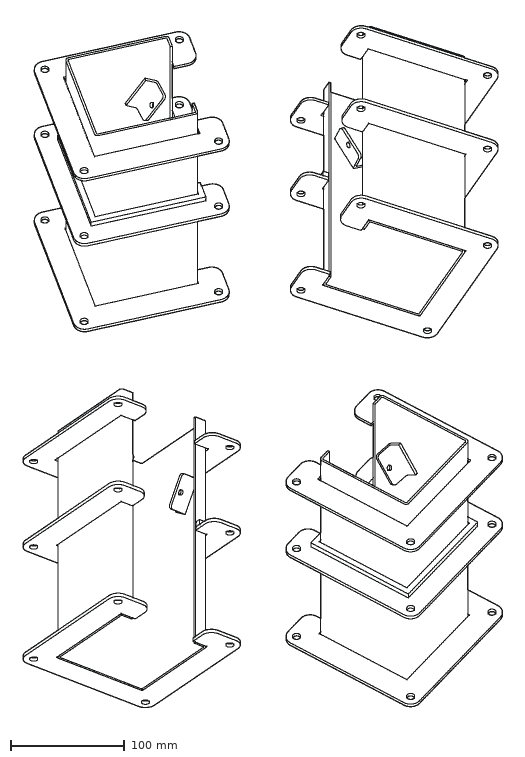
import cadquery as cq
import math

POST_SIZE = 95.0
POST_HEIGHT = 231.8
POST_WALL = 2.0
POST_CORNER_RADIUS = 3.0
POST_GAP = 69.0

FLANGE_SIZE = 142.8
FLANGE_CORNER_RADIUS = 10.0
BOLT_HOLE_DIAMETER = 7.2
BOLT_SPACING = 123.8

BOTTOM_FLANGE_THICKNESS = 3.5
BOTTOM_FLANGE_GAP = 64.0

MIDDLE_FLANGE_THICKNESS = BOTTOM_FLANGE_THICKNESS
MIDDLE_FLANGE_GAP = 70.0
MIDDLE_FLANGE_BASE = 115.2

TOP_FLANGE_THICKNESS = 3.0
TOP_FLANGE_GAP = 65.8
TOP_FLANGE_BASE = 203.0
TOP_FLANGE_CLEARANCE = 1.0

GASKET_SIZE = 105.7
GASKET_THICKNESS = 5.0
GASKET_BASE = MIDDLE_FLANGE_BASE + MIDDLE_FLANGE_THICKNESS

BRACKET_THICKNESS = 2.8
BRACKET_LENGTH = 33.4
BRACKET_TILT = 57.0
INNER_BEND_RADIUS = 1.5
OUTER_BEND_RADIUS = 2.0
WALL_LEG_WIDTH = 14.0
PLATE_REACH = 19.0
PLATE_LEAN = 9.0
PLATE_CORNER_RADIUS = 3.5
PLATE_HOLE_DIAMETER = 4.9
PLATE_HOLE_REACH = 14.0
BRACKET_Y = 28.0
BRACKET_Z = 162.5


def square_prism(size, base, height):
    return cq.Workplane("XY").workplane(offset=base).rect(size, size).extrude(height)


def open_side(body, gap, base, height):
    """Remove the middle of the body's +Y side over the width of the gap."""
    reach = FLANGE_SIZE / 2
    cutter = cq.Workplane("XY").workplane(offset=base).center(0, reach / 2).rect(gap, reach).extrude(height)
    return body.cut(cutter)


def make_post():
    outside = square_prism(POST_SIZE, 0, POST_HEIGHT).edges("|Z").fillet(POST_CORNER_RADIUS)
    inside = square_prism(POST_SIZE - 2 * POST_WALL, 0, POST_HEIGHT)
    inside = inside.edges("|Z").fillet(POST_CORNER_RADIUS - POST_WALL)
    return open_side(outside.cut(inside), POST_GAP, 0, POST_HEIGHT)


def make_flange(base, thickness, gap, clearance=0):
    """U-plate with rounded corners, four bolt holes and a square window around the post."""
    plate = open_side(square_prism(FLANGE_SIZE, base, thickness), gap, base, thickness)
    plate = plate.edges("|Z and (<Y or >Y)").fillet(FLANGE_CORNER_RADIUS)
    window = square_prism(POST_SIZE + 2 * clearance, base, thickness)
    bolt_holes = (
        cq.Workplane("XY")
        .workplane(offset=base)
        .rect(BOLT_SPACING, BOLT_SPACING, forConstruction=True)
        .vertices()
        .circle(BOLT_HOLE_DIAMETER / 2)
        .extrude(thickness)
    )
    return plate.cut(window).cut(bolt_holes)


def make_gasket():
    strip = square_prism(GASKET_SIZE, GASKET_BASE, GASKET_THICKNESS)
    strip = strip.cut(square_prism(POST_SIZE, GASKET_BASE, GASKET_THICKNESS))
    return open_side(strip, MIDDLE_FLANGE_GAP, GASKET_BASE, GASKET_THICKNESS)


def make_left_bracket():
    """Bracket on the -X wall, built along Z with its outer bend at the origin, then tilted."""
    lean = math.radians(PLATE_LEAN)
    outer_bend = (0, 0)
    inner_bend = (BRACKET_THICKNESS, BRACKET_THICKNESS * (math.tan(lean) - 1 / math.cos(lean)))
    tip_rear = (PLATE_REACH, PLATE_REACH * math.tan(lean))
    tip_front = (
        tip_rear[0] + BRACKET_THICKNESS * math.sin(lean),
        tip_rear[1] - BRACKET_THICKNESS * math.cos(lean),
    )
    leg_end = [(BRACKET_THICKNESS, -WALL_LEG_WIDTH), (0, -WALL_LEG_WIDTH)]
    body = (
        cq.Workplane("XY")
        .polyline([outer_bend, tip_rear, tip_front, inner_bend, *leg_end])
        .close()
        .extrude(BRACKET_LENGTH / 2, both=True)
    )

    for bend, radius in ((inner_bend, INNER_BEND_RADIUS), (outer_bend, OUTER_BEND_RADIUS)):
        body = body.edges(cq.NearestToPointSelector((*bend, 0))).fillet(radius)

    tip_middle = ((tip_rear[0] + tip_front[0]) / 2, (tip_rear[1] + tip_front[1]) / 2)
    for end in (-BRACKET_LENGTH / 2, BRACKET_LENGTH / 2):
        body = body.edges(cq.NearestToPointSelector((*tip_middle, end))).fillet(PLATE_CORNER_RADIUS)

    hole = (
        cq.Workplane("XZ")
        .center(PLATE_HOLE_REACH, 0)
        .circle(PLATE_HOLE_DIAMETER / 2)
        .extrude(2 * BRACKET_THICKNESS, both=True)
        .rotate((0, 0, 0), (0, 0, 1), PLATE_LEAN)
    )
    tilted = body.cut(hole).rotate((0, 0, 0), (1, 0, 0), BRACKET_TILT - 90)
    return tilted.translate((POST_WALL - POST_SIZE / 2, BRACKET_Y, BRACKET_Z))


def make_bracket(side):
    """Bracket on the -X wall (side -1) or its mirror image on the +X wall (side +1)."""
    left_bracket = make_left_bracket()
    return left_bracket if side < 0 else left_bracket.mirror("YZ")


post = make_post()
bottom_flange = make_flange(0, BOTTOM_FLANGE_THICKNESS, BOTTOM_FLANGE_GAP)
middle_flange = make_flange(MIDDLE_FLANGE_BASE, MIDDLE_FLANGE_THICKNESS, MIDDLE_FLANGE_GAP)
top_flange = make_flange(TOP_FLANGE_BASE, TOP_FLANGE_THICKNESS, TOP_FLANGE_GAP, TOP_FLANGE_CLEARANCE)
gasket = make_gasket()
brackets = [make_bracket(side) for side in (-1, 1)]

result = cq.Compound.makeCompound(
    [
        post.val(),
        bottom_flange.val(),
        middle_flange.val(),
        top_flange.val(),
        gasket.val(),
        *[bracket.val() for bracket in brackets],
    ]
)